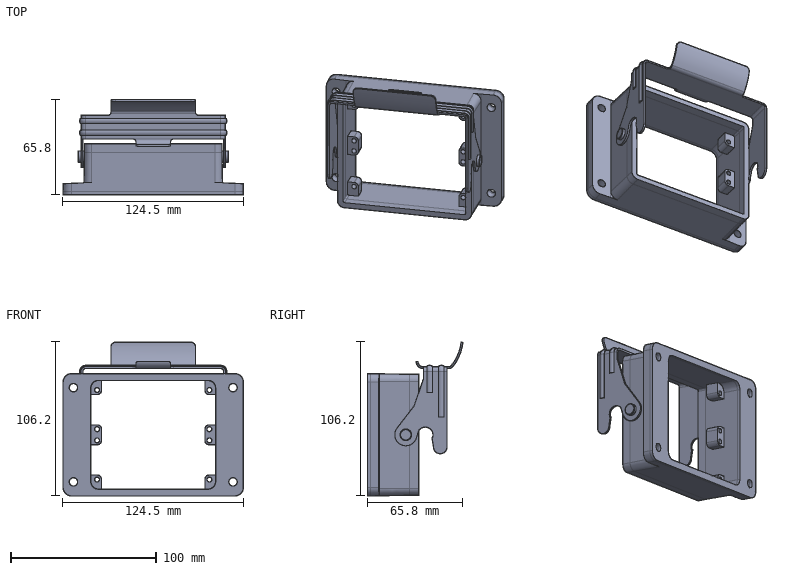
import cadquery as cq
import math

PLATE_WIDTH = 124.5
HEIGHT = 84.5
PLATE_CORNER = 6.0
PLATE_DEPTH = 8.3
PLATE_EDGE_DEPTH = 7.7
FRAME_WIDTH = 95.9
FRAME_CORNER = 5.4
FRAME_DEPTH = 35.4
FRONT_LAND = 2.1
REAR_LAND = 6.2
DRAFT_ANGLE = 1.0
OPENING_WIDTH = 85.9
OPENING_HEIGHT = 74.8
OPENING_CORNER = 5.2
OPENING_REAR_CORNER = 0.6
MID_Z = HEIGHT / 2

MOUNT_HOLE_DIAMETER = 5.6
MOUNT_HOLE_X = 55.0
MOUNT_HOLE_OFFSET_Z = 32.5

BOSS_WIDTH = 7.3
BOSS_FRONT_Y = 13.6
BOSS_LENGTH = 9.3
BOSS_ROUND = 3.0
BOSS_ROOT = 1.2
MID_BOSS_HEIGHT = 13.8
CORNER_BOSS_HEIGHT = 9.7
SCREW_HOLE_DIAMETER = 3.2
SCREW_HOLE_X = 38.7
MID_SCREW_OFFSET_Z = 3.9
CORNER_SCREW_OFFSET_Z = 30.9

SHEET = 1.4
LEVER_WIDTH = 99.6
LEVER_TOP_Z = 89.3
LEVER_BEND = 3.2
LEVER_FRONT_Y = 38.5
LEVER_REAR_Y = 54.9
PIVOT_Y = 26.4
PIVOT_LOBE_RADIUS = 7.6
NOTCH_Y = 39.8
NOTCH_RADIUS = 5.2
TAIL_RADIUS = 4.7
TAIL_Z = 33.9
HOOK_POINT = (44.3, 40.3)
SHOULDER_Z = 80.8
KNEE = (32.1, 62.1)

PIN_RADIUS = 4.0
PIN_END_X = 52.0
PIN_CHAMFER = 0.4

RIBS = ((50.9, 54.7), (42.8, 71.6))
RIB_WIDTH = 3.7
RIB_HEIGHT = 1.0
RIB_WALL = 0.4
RIB_ROOT = 0.6

HANDLE_WIDTH = 58.5
HANDLE_CENTRE = (34.5, 109.2)
HANDLE_RADIUS = 30.1
HANDLE_END_ANGLE = 5.7
HANDLE_TIP_ROUND = 3.4
HANDLE_BEND = 2.5
HANDLE_FLARE = 1.9
TAB_WIDTH = 23.9
TAB_RADIUS = 3.6
TAB_CENTRE = (LEVER_FRONT_Y, LEVER_TOP_Z + TAB_RADIUS)
TAB_END_ANGLE = 0.0
TAB_TIP_ROUND = 1.5
TAB_FLARE = 2.1


def polar(centre, radius, degrees):
    """Point on a circle, with the angle measured from the first axis of its plane."""
    angle = math.radians(degrees)
    return (centre[0] + radius * math.cos(angle), centre[1] + radius * math.sin(angle))


def housing_plane(y):
    """Work plane at depth y, centred on the housing and facing the rear."""
    return cq.Workplane(cq.Plane(origin=(0, y, MID_Z), xDir=(-1, 0, 0), normal=(0, 1, 0)))


def rounded_rectangle(width, height, corner):
    return cq.Sketch().rect(width, height).vertices().fillet(corner)


def drafted_block(width, corner, end_y, rear_land):
    """Block with straight lands at its front and rear and drafted sides between them."""
    draft_depth = end_y - rear_land - FRONT_LAND
    inset = draft_depth * math.tan(math.radians(DRAFT_ANGLE))
    outline = rounded_rectangle(width, HEIGHT, corner)
    block = housing_plane(0).placeSketch(outline).extrude(FRONT_LAND)
    drafted = housing_plane(FRONT_LAND).placeSketch(outline).extrude(draft_depth, taper=DRAFT_ANGLE)
    block = block.union(drafted)
    if rear_land:
        rear = rounded_rectangle(width - 2 * inset, HEIGHT - 2 * inset, corner - inset)
        block = block.union(housing_plane(end_y - rear_land).placeSketch(rear).extrude(rear_land))
    return block


def opening_outline(y, corner):
    """Opening at depth y, grown on every side by the draft behind the front land."""
    growth = (y - FRONT_LAND) * math.tan(math.radians(DRAFT_ANGLE))
    return rounded_rectangle(OPENING_WIDTH + 2 * growth, OPENING_HEIGHT + 2 * growth, corner + growth)


def make_opening():
    """Opening with a straight land at each end and drafted walls that spread to the rear.

    Its corners are well rounded as far as the rear of the bosses and nearly sharp behind them.
    """
    boss_rear_y = BOSS_FRONT_Y + BOSS_LENGTH
    rear_y = FRAME_DEPTH - REAR_LAND
    front = opening_outline(FRONT_LAND, OPENING_CORNER)
    middle = opening_outline(boss_rear_y, OPENING_REAR_CORNER)
    rear = opening_outline(rear_y, OPENING_REAR_CORNER)
    opening = housing_plane(0).placeSketch(front).extrude(FRONT_LAND)
    for outline, start_y, end_y in ((front, FRONT_LAND, boss_rear_y), (middle, boss_rear_y, rear_y)):
        drafted = housing_plane(start_y).placeSketch(outline).extrude(end_y - start_y, taper=-DRAFT_ANGLE)
        opening = opening.union(drafted)
    return opening.union(housing_plane(rear_y).placeSketch(rear).extrude(REAR_LAND))


def make_mount_hole(x, z):
    """Plate hole with a straight front land that widens with the draft angle behind it."""
    radius = MOUNT_HOLE_DIAMETER / 2
    hole = housing_plane(0).center(x, z).circle(radius).extrude(FRONT_LAND)
    widening = housing_plane(FRONT_LAND).center(x, z).circle(radius)
    return hole.union(widening.extrude(PLATE_DEPTH - FRONT_LAND, taper=-DRAFT_ANGLE))


def make_plate():
    """Mounting plate whose rear face slopes forward towards its two side edges."""
    half_plate = PLATE_WIDTH / 2
    half_frame = FRAME_WIDTH / 2
    depth_outline = [
        (-half_plate, 0),
        (half_plate, 0),
        (half_plate, PLATE_EDGE_DEPTH),
        (half_frame, PLATE_DEPTH),
        (-half_frame, PLATE_DEPTH),
        (-half_plate, PLATE_EDGE_DEPTH),
    ]
    envelope = cq.Workplane("XY").polyline(depth_outline).close().extrude(HEIGHT)
    return drafted_block(PLATE_WIDTH, PLATE_CORNER, PLATE_DEPTH, 0).intersect(envelope)


def make_boss(side, bottom, top, rounded_edges):
    """Screw boss on one side wall (side is -1 or 1), between two heights from the middle."""
    width = BOSS_WIDTH + BOSS_ROOT
    middle_x = side * (OPENING_WIDTH / 2 - BOSS_WIDTH + width / 2)
    boss = cq.Workplane("XY").box(width, BOSS_LENGTH, top - bottom)
    inner_face = "<X" if side > 0 else ">X"
    boss = boss.faces(inner_face).edges(rounded_edges).fillet(BOSS_ROUND)
    middle_y = BOSS_FRONT_Y + BOSS_LENGTH / 2
    return boss.translate((middle_x, middle_y, MID_Z + (bottom + top) / 2))


def make_bosses():
    bosses = cq.Workplane("XY")
    corner_far = OPENING_HEIGHT / 2 + BOSS_ROOT
    corner_near = OPENING_HEIGHT / 2 - CORNER_BOSS_HEIGHT
    half_mid = MID_BOSS_HEIGHT / 2
    for side in (-1, 1):
        bosses = bosses.add(make_boss(side, -half_mid, half_mid, "|Y"))
        bosses = bosses.add(make_boss(side, corner_near, corner_far, "|Y and <Z"))
        bosses = bosses.add(make_boss(side, -corner_far, -corner_near, "|Y and >Z"))
    return bosses.combine()


def make_housing():
    housing = drafted_block(FRAME_WIDTH, FRAME_CORNER, FRAME_DEPTH, REAR_LAND)
    housing = housing.union(make_plate()).cut(make_opening()).union(make_bosses())

    for x in (-MOUNT_HOLE_X, MOUNT_HOLE_X):
        for z in (-MOUNT_HOLE_OFFSET_Z, MOUNT_HOLE_OFFSET_Z):
            housing = housing.cut(make_mount_hole(x, z))

    screw_points = [
        (x, side * offset_z)
        for x in (-SCREW_HOLE_X, SCREW_HOLE_X)
        for offset_z in (MID_SCREW_OFFSET_Z, CORNER_SCREW_OFFSET_Z)
        for side in (-1, 1)
    ]
    screw_holes = housing_plane(0).pushPoints(screw_points).circle(SCREW_HOLE_DIAMETER / 2)
    return housing.cut(screw_holes.extrude(FRAME_DEPTH))


def arch(width, top_z, bend):
    """Upright block with rounded upper corners, running along the depth of the lever."""
    front_y = PIVOT_Y - PIVOT_LOBE_RADIUS
    depth = LEVER_REAR_Y - front_y
    block = cq.Workplane("XY").box(width, depth, top_z, centered=(True, False, False))
    return block.edges("|Y and >Z").fillet(bend).translate((0, front_y, 0))


def make_leg_outline():
    """Side outline of the lever: arm to the pivot lobe, notch and rounded tail."""
    pivot = (PIVOT_Y, MID_Z)
    notch = (NOTCH_Y, MID_Z)
    tail = (LEVER_REAR_Y - TAIL_RADIUS, TAIL_Z)

    knee_distance = math.dist(KNEE, pivot)
    knee_angle = math.degrees(math.atan2(KNEE[1] - MID_Z, KNEE[0] - PIVOT_Y))
    lobe_start = knee_angle + math.degrees(math.acos(PIVOT_LOBE_RADIUS / knee_distance))
    cross_angle = math.degrees(math.acos((PIVOT_LOBE_RADIUS + NOTCH_RADIUS) / (NOTCH_Y - PIVOT_Y)))
    lobe_end = 360 - cross_angle
    notch_start = 180 - cross_angle
    notch_end = math.degrees(math.atan2(HOOK_POINT[1] - MID_Z, HOOK_POINT[0] - NOTCH_Y))

    return (
        cq.Workplane("YZ", origin=(-LEVER_WIDTH / 2, 0, 0))
        .moveTo(LEVER_REAR_Y, LEVER_TOP_Z)
        .lineTo(LEVER_FRONT_Y, LEVER_TOP_Z)
        .lineTo(LEVER_FRONT_Y, SHOULDER_Z)
        .lineTo(*KNEE)
        .lineTo(*polar(pivot, PIVOT_LOBE_RADIUS, lobe_start))
        .threePointArc(
            polar(pivot, PIVOT_LOBE_RADIUS, (lobe_start + lobe_end) / 2),
            polar(pivot, PIVOT_LOBE_RADIUS, lobe_end),
        )
        .lineTo(*polar(notch, NOTCH_RADIUS, notch_start))
        .threePointArc(
            polar(notch, NOTCH_RADIUS, (notch_start + notch_end) / 2),
            polar(notch, NOTCH_RADIUS, notch_end),
        )
        .lineTo(*HOOK_POINT)
        .lineTo(tail[0] - TAIL_RADIUS, TAIL_Z)
        .threePointArc((tail[0], TAIL_Z - TAIL_RADIUS), (LEVER_REAR_Y, TAIL_Z))
        .close()
    )


def make_rib(middle_y, end_z):
    """Round-backed rib with short walls, running up one leg, over the top and down the other."""
    half_width = LEVER_WIDTH / 2
    path = (
        cq.Workplane("XZ", origin=(0, middle_y, 0))
        .moveTo(-half_width, end_z)
        .lineTo(-half_width, LEVER_TOP_Z - LEVER_BEND)
        .tangentArcPoint((LEVER_BEND, LEVER_BEND))
        .lineTo(half_width - LEVER_BEND, LEVER_TOP_Z)
        .tangentArcPoint((LEVER_BEND, -LEVER_BEND))
        .lineTo(half_width, end_z)
    )
    return (
        cq.Workplane("XY", origin=(-half_width, middle_y, end_z))
        .moveTo(RIB_ROOT, -RIB_WIDTH / 2)
        .lineTo(-RIB_WALL, -RIB_WIDTH / 2)
        .threePointArc((-RIB_HEIGHT, 0), (-RIB_WALL, RIB_WIDTH / 2))
        .lineTo(RIB_ROOT, RIB_WIDTH / 2)
        .close()
        .sweep(path)
    )


def make_lip(direction, root_y, width, centre, radius, end_angle, tip_round, flare, bend=0):
    """Sheet lip that leaves the lever top along Y (direction -1 or 1) and curls upward.

    The curl is an arc about centre, given as (Y, Z). It ends end_angle degrees below the
    level of that centre, and its foot flares out to the lever edge. A bend radius rounds
    the crease where an arc does not start level with the lever top.
    """
    def arc_point(arc_radius, below):
        angle_from_y = -below if direction > 0 else 180 + below
        return polar(centre, arc_radius, angle_from_y)

    def start_angle(arc_radius, sheet_z):
        return math.degrees(math.asin(min(1.0, (centre[1] - sheet_z) / arc_radius)))

    outer_radius = radius + SHEET
    bottom_z = LEVER_TOP_Z - SHEET
    inner_start = start_angle(radius, LEVER_TOP_Z)
    outer_start = start_angle(outer_radius, bottom_z)
    inner_foot = arc_point(radius, inner_start)
    outer_foot = arc_point(outer_radius, outer_start)
    base_y = root_y - direction * SHEET
    foot_width = width + 2 * flare

    lip = (
        cq.Workplane("YZ", origin=(-foot_width / 2, 0, 0))
        .moveTo(base_y, LEVER_TOP_Z)
        .lineTo(*inner_foot)
        .threePointArc(arc_point(radius, (inner_start + end_angle) / 2), arc_point(radius, end_angle))
        .lineTo(*arc_point(outer_radius, end_angle))
        .threePointArc(arc_point(outer_radius, (outer_start + end_angle) / 2), outer_foot)
        .lineTo(base_y, bottom_z)
        .close()
        .extrude(foot_width)
    )
    if bend:
        for foot, foot_bend in ((inner_foot, bend), (outer_foot, bend + SHEET)):
            lip = lip.edges(cq.NearestToPointSelector((0, *foot))).fillet(foot_bend)

    reach = abs(arc_point(outer_radius, end_angle)[0] - root_y)
    for side in (-1, 1):
        edge_x = side * width / 2
        corner_x = side * foot_width / 2
        flare_y = root_y + direction * flare
        bevel = flare * math.sqrt(0.5)
        trim = (
            cq.Workplane("XY", origin=(0, 0, bottom_z - SHEET))
            .moveTo(corner_x, root_y)
            .threePointArc((corner_x - side * bevel, flare_y - direction * bevel), (edge_x, flare_y))
            .lineTo(edge_x, root_y + direction * (reach + SHEET))
            .lineTo(corner_x, root_y + direction * (reach + SHEET))
            .close()
            .extrude(centre[1] - bottom_z + SHEET)
        )
        lip = lip.cut(trim)

    tip = arc_point(radius + SHEET / 2, end_angle)
    return lip.faces(cq.NearestToPointSelector((0, *tip))).edges("not |X").fillet(tip_round)


def make_lever():
    lever = make_leg_outline().extrude(LEVER_WIDTH)
    lever = lever.intersect(arch(LEVER_WIDTH, LEVER_TOP_Z, LEVER_BEND))
    inside = arch(LEVER_WIDTH - 2 * SHEET, LEVER_TOP_Z - SHEET, LEVER_BEND - SHEET)
    lever = lever.cut(inside)
    for middle_y, end_z in RIBS:
        lever = lever.union(make_rib(middle_y, end_z))
    handle = make_lip(1, LEVER_REAR_Y, HANDLE_WIDTH, HANDLE_CENTRE, HANDLE_RADIUS, HANDLE_END_ANGLE,
                      HANDLE_TIP_ROUND, HANDLE_FLARE, HANDLE_BEND)
    tab = make_lip(-1, LEVER_FRONT_Y, TAB_WIDTH, TAB_CENTRE, TAB_RADIUS, TAB_END_ANGLE,
                   TAB_TIP_ROUND, TAB_FLARE)
    return lever.union(handle).union(tab)


def make_pin(side):
    """Pivot pin from the middle of the frame wall out through one lever leg."""
    start_x = (FRAME_WIDTH + OPENING_WIDTH) / 4
    pin = (
        cq.Workplane("YZ", origin=(side * start_x, PIVOT_Y, MID_Z))
        .circle(PIN_RADIUS)
        .extrude(side * (PIN_END_X - start_x))
    )
    return pin.faces(">X" if side > 0 else "<X").chamfer(PIN_CHAMFER)


result = make_housing().union(make_lever())
for pin_side in (-1, 1):
    result = result.union(make_pin(pin_side))